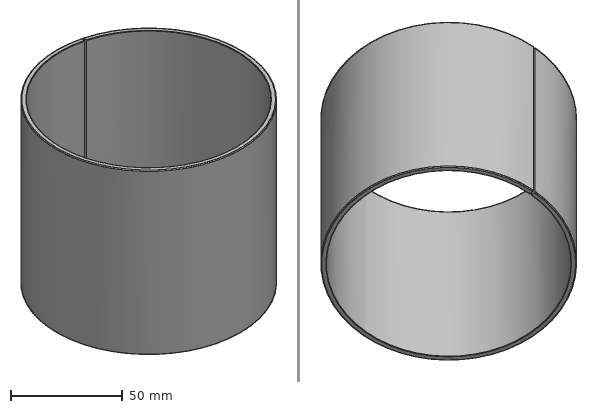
import cadquery as cq

outer_diameter = 115.0
length = 100.0
wall = 2.5
outer_chamfer = 0.5
inner_chamfer = 0.2
seam_width = 1.0

outer_radius = outer_diameter / 2
inner_radius = outer_radius - wall
half_length = length / 2


def sleeve():
    """Revolve the wall section, with chamfers at both ends, about Z."""
    return (
        cq.Workplane("XZ")
        .moveTo(inner_radius, -half_length + inner_chamfer)
        .lineTo(inner_radius + inner_chamfer, -half_length)
        .lineTo(outer_radius - outer_chamfer, -half_length)
        .lineTo(outer_radius, -half_length + outer_chamfer)
        .lineTo(outer_radius, half_length - outer_chamfer)
        .lineTo(outer_radius - outer_chamfer, half_length)
        .lineTo(inner_radius + inner_chamfer, half_length)
        .lineTo(inner_radius, half_length - inner_chamfer)
        .close()
        .revolve(360, (0, 0, 0), (0, 1, 0))
    )


def seam_cutter():
    """Full-length slot through the -X wall, with one face on the Y = 0 plane."""
    return (
        cq.Workplane("XY")
        .box(2 * wall, seam_width, 2 * length)
        .translate((-outer_radius + wall / 2, seam_width / 2, 0))
    )


result = sleeve().cut(seam_cutter())